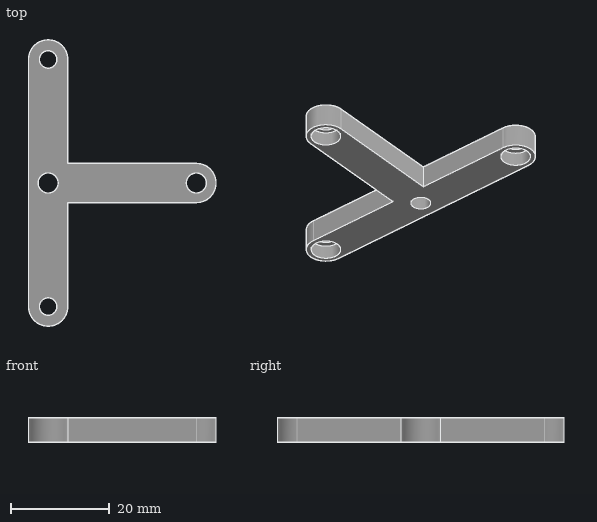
import cadquery as cq

length = 58.0
bar_width = 8.0
thickness = 5.0
arm_reach = 30.0
small_hole_diameter = 3.5
large_hole_diameter = 4.0
counterbore_diameter = 6.0
hole_land = 2.0

counterbore_depth = thickness - hole_land

end_hole_offset = (length - bar_width) / 2
long_bar_ends = [(0, -end_hole_offset), (0, end_hole_offset)]
junction = (0, 0)
arm_end = (arm_reach, 0)


def bore(body, points, diameter, depth):
    """Cut round bores of the given depth upward from the underside."""
    pins = cq.Workplane("XY").pushPoints(points).circle(diameter / 2).extrude(depth)
    return body.cut(pins)


long_bar = cq.Workplane("XY").slot2D(length, bar_width, 90).extrude(thickness)

arm = (
    cq.Workplane("XY")
    .center(arm_reach / 2, 0)
    .slot2D(arm_reach + bar_width, bar_width)
    .extrude(thickness)
)

body = long_bar.union(arm)

body = bore(body, long_bar_ends, small_hole_diameter, thickness)
body = bore(body, [junction, arm_end], large_hole_diameter, thickness)

result = bore(body, long_bar_ends + [arm_end], counterbore_diameter, counterbore_depth)